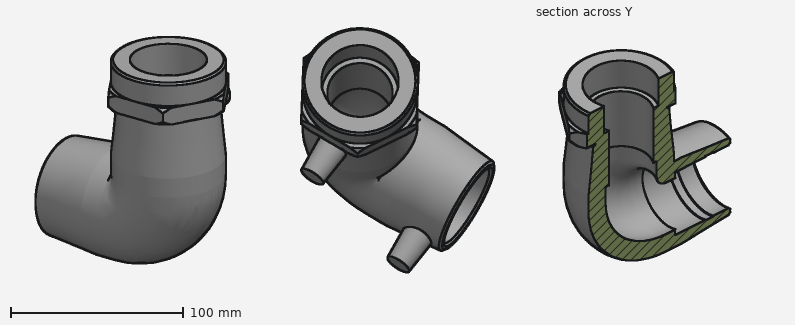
import cadquery as cq
import math

body_radius = 33.5
bend_radius = 26.6
straight_end = 38.6
arm_end = 74.5
arm_tip_radius = 30.2
rim_radius = 28.5
rim_chamfer = 1.3

passage_radius = 21.1
socket_mouth_radius = 26.5
socket_radius = 25.0
socket_depth = 41.2
groove_start = 13.0
groove_width = 5.9
groove_radius = 25.5

nut_height = 10.6
nut_flats = 2 * body_radius
nut_corner_radius = nut_flats / 2 / math.cos(math.pi / 6)
nut_chamfer_width = 2.4
nut_chamfer_height = 2.5
collar_radius = body_radius
collar_height = 14.4
collar_chamfer = 1.3
mouth_radius = 44.8 / 2
mouth_depth = 20.1
sleeve_radius = 38.0 / 2

terminal_offset = 59.2
terminal_tip_y = 52.0
terminal_length = 31.9
terminal_tip_radius = 7.6
terminal_base_radius = 10.1

nut_top = arm_end + nut_height
coupling_top = nut_top + collar_height
mouth_floor = coupling_top - mouth_depth


def cylinder_z(radius, bottom, top):
    return cq.Workplane("XY").workplane(offset=bottom).circle(radius).extrude(top - bottom)


def revolve_z(points):
    return cq.Workplane("XZ").polyline(points).close().revolve(360, (0, 0), (0, 1))


def lay_along_minus_x(solid):
    return solid.rotate((0, 0, 0), (0, 1, 0), -90)


def make_arm():
    """Straight stub and tapered end of one arm, pointing up."""
    return revolve_z([
        (0, bend_radius),
        (body_radius, bend_radius),
        (body_radius, straight_end),
        (arm_tip_radius, arm_end - rim_chamfer),
        (rim_radius, arm_end),
        (0, arm_end),
    ])


def sweep_bend(profile):
    """Turn a profile in the plane z = bend_radius through the quarter bend."""
    return profile.revolve(90, (-bend_radius, 0), (-bend_radius, 1))


def make_bend():
    """Quarter bend; the tube is cut off at the bend axis because it is wider than the bend radius."""
    half_chord = math.sqrt(body_radius**2 - bend_radius**2)
    profile = (
        cq.Workplane("XY", origin=(0, 0, bend_radius))
        .moveTo(-bend_radius, -half_chord)
        .threePointArc((body_radius, 0), (-bend_radius, half_chord))
        .close()
    )
    return cq.Workplane(sweep_bend(profile).val().toNURBS())


def make_coupling():
    """Hexagon nut with chamfered corners, topped by a round collar."""
    hexagon = (
        cq.Workplane("XY").workplane(offset=arm_end)
        .polygon(6, 2 * nut_corner_radius).extrude(nut_height)
    )
    chamfered_radius = nut_corner_radius - nut_chamfer_width
    corner_envelope = revolve_z([
        (0, arm_end),
        (chamfered_radius, arm_end),
        (nut_corner_radius, arm_end + nut_chamfer_height),
        (nut_corner_radius, nut_top - nut_chamfer_height),
        (chamfered_radius, nut_top),
        (0, nut_top),
    ])
    collar = cylinder_z(collar_radius, nut_top, coupling_top).faces(">Z").chamfer(collar_chamfer)
    return hexagon.intersect(corner_envelope).union(collar)


def make_terminal(x, z):
    terminal_base_y = terminal_tip_y - terminal_length
    cone = cq.Solid.makeCone(
        terminal_base_radius, terminal_tip_radius, terminal_length,
        cq.Vector(x, terminal_base_y, z), cq.Vector(0, 1, 0),
    )
    return cq.Workplane(cone)


def make_socket():
    """Pipe socket with a 45 degree lead-in and a shallow ring groove."""
    socket = revolve_z([
        (0, arm_end),
        (socket_mouth_radius, arm_end),
        (socket_radius, arm_end - (socket_mouth_radius - socket_radius)),
        (socket_radius, arm_end - socket_depth),
        (0, arm_end - socket_depth),
    ])
    groove_top = arm_end - groove_start
    groove = cylinder_z(groove_radius, groove_top - groove_width, groove_top)
    return lay_along_minus_x(socket.union(groove))


def make_passage():
    bend = sweep_bend(cq.Workplane("XY", origin=(0, 0, bend_radius)).circle(passage_radius))
    riser = cylinder_z(passage_radius, bend_radius, straight_end)
    inlet = lay_along_minus_x(cylinder_z(passage_radius, bend_radius, arm_end))
    sleeve = cylinder_z(sleeve_radius, straight_end, mouth_floor)
    mouth = cylinder_z(mouth_radius, mouth_floor, coupling_top)
    return [bend, riser, inlet, sleeve, mouth]


result = make_bend().union(make_arm()).union(lay_along_minus_x(make_arm())).union(make_coupling())
for x, z in [(0, terminal_offset), (-terminal_offset, 0)]:
    result = result.union(make_terminal(x, z))
for void in [*make_passage(), make_socket()]:
    result = result.cut(void)